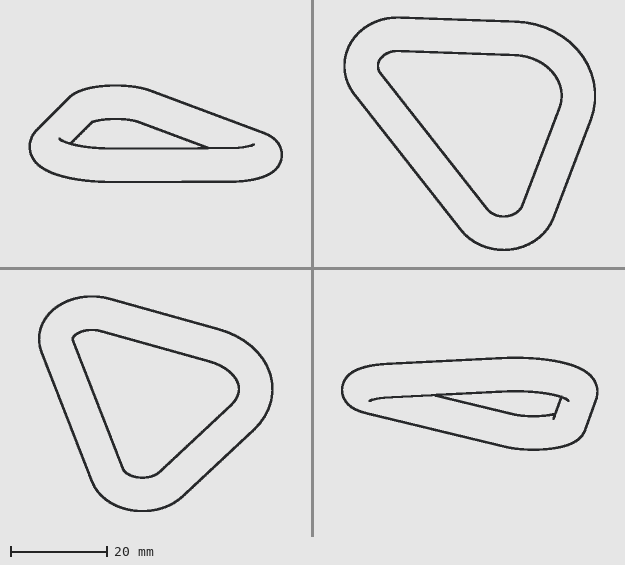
import cadquery as cq
import math

length = 61.0
width = 43.9
bar_diameter = 7.0

corner_radius = 7.5
nose_radius = 13.6

bar_radius = bar_diameter / 2
corner_x = length / 2 - bar_radius - corner_radius
nose_y = corner_radius + nose_radius + bar_diameter - width

center_distance = math.hypot(corner_x, nose_y)
leg_angle = math.atan2(-nose_y, corner_x) + math.asin((nose_radius - corner_radius) / center_distance)


def bend_point(center_x, center_y, radius, angle):
    """Point on a bend, with the angle measured from -Y toward +X."""
    return (center_x + radius * math.sin(angle), center_y - radius * math.cos(angle))


def corner_point(side, angle):
    """Point on the left (side = -1) or right (side = 1) corner bend."""
    return bend_point(side * corner_x, 0, corner_radius, side * angle)


corner_mid_angle = (leg_angle + math.pi) / 2
centerline = (
    cq.Workplane("XY")
    .moveTo(0, corner_radius)
    .lineTo(corner_x, corner_radius)
    .threePointArc(corner_point(1, corner_mid_angle), corner_point(1, leg_angle))
    .lineTo(*bend_point(0, nose_y, nose_radius, leg_angle))
    .threePointArc(
        bend_point(0, nose_y, nose_radius, 0),
        bend_point(0, nose_y, nose_radius, -leg_angle),
    )
    .lineTo(*corner_point(-1, leg_angle))
    .threePointArc(corner_point(-1, corner_mid_angle), (-corner_x, corner_radius))
    .close()
)

section = cq.Workplane("YZ").center(corner_radius, 0).circle(bar_radius)
result = section.sweep(centerline)